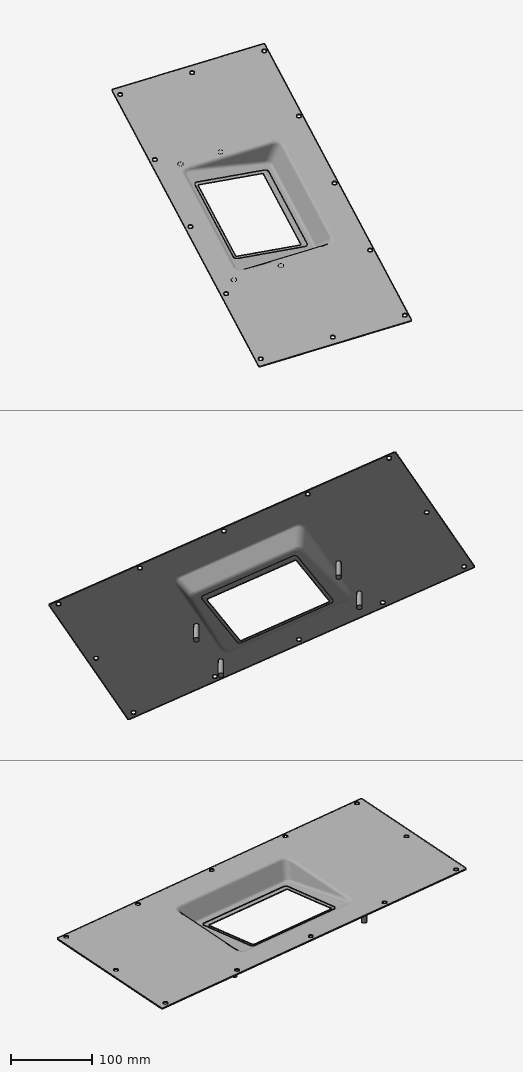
import cadquery as cq
import math

PLATE_LENGTH = 486.0
PLATE_WIDTH = 202.0
PLATE_CORNER_RADIUS = 1.5
SHEET = 1.5
BORDER_WIDTH = 5.0
TOTAL_HEIGHT = 30.0

HOLE_DIAMETER = 6.0
HOLE_ROW_CENTRE = 1.0
HOLE_ROW_OFFSET = 95.3
HOLE_OUTER_X = 232.0
HOLE_INNER_X = 117.5

PAN_HALF_WIDTH = 89.0
PAN_BACK_Y = 60.0
PAN_FRONT_Y = -69.0
PAN_FRONT_DEPTH = 1.5
FLOOR_TILT = 10.0
SIDE_WALL_ANGLE = 60.0
BACK_WALL_ANGLE = 50.0
FRONT_WALL_ANGLE = 60.0
CORNER_RADIUS = 9.5
FLOOR_RADIUS = 5.0
RIM_RADIUS = 5.5
WALL_TOP = 9.5
WALL_BOTTOM = -2 * TOTAL_HEIGHT

WINDOW_WIDTH = 125.5
WINDOW_LENGTH = 87.5
WINDOW_CENTRE_Y = -16.0
WINDOW_CORNER_RADIUS = 1.5
RECESS_WIDTH = 134.0
RECESS_LENGTH = 99.0
RECESS_CENTRE_Y = -14.0
RECESS_CORNER_RADIUS = 4.5
RECESS_DEPTH = SHEET / 2

POST_DIAMETER = 7.0
POST_X = 99.5
POST_POINTS = [(-POST_X, -14.5), (-POST_X, -67.5), (POST_X, -14.5), (POST_X, -77.0)]

TILT = math.radians(FLOOR_TILT)
FLOOR_NORMAL = cq.Vector(0, math.sin(TILT), math.cos(TILT))


def run_per_height(angle):
    """Horizontal run of a wall for each unit of height."""
    return 1 / math.tan(math.radians(angle))


def floor_z(y):
    """Height of the upper face of the pan floor."""
    return -PAN_FRONT_DEPTH - math.tan(TILT) * (y - PAN_FRONT_Y)


def pan_side_profile():
    """Section along Y: front wall, sloping floor and back wall."""
    front_run = run_per_height(FRONT_WALL_ANGLE)
    back_run = run_per_height(BACK_WALL_ANGLE)
    floor_front_y = PAN_FRONT_Y + PAN_FRONT_DEPTH * front_run
    floor_back_y = (PAN_BACK_Y + back_run * floor_z(0)) / (1 + back_run * math.tan(TILT))
    return cq.Workplane("YZ").polyline([
        (PAN_FRONT_Y - WALL_TOP * front_run, WALL_TOP),
        (floor_front_y, floor_z(floor_front_y)),
        (floor_back_y, floor_z(floor_back_y)),
        (PAN_BACK_Y + WALL_TOP * back_run, WALL_TOP),
    ]).close()


def pan_cross_profile():
    """Section along X: the two side walls, closed well below the floor."""
    side_run = run_per_height(SIDE_WALL_ANGLE)
    top_half = PAN_HALF_WIDTH + WALL_TOP * side_run
    bottom_half = PAN_HALF_WIDTH + WALL_BOTTOM * side_run
    return cq.Workplane("XZ").polyline([
        (-top_half, WALL_TOP),
        (-bottom_half, WALL_BOTTOM),
        (bottom_half, WALL_BOTTOM),
        (top_half, WALL_TOP),
    ]).close()


def pan_solid(wall):
    """Filled pan below Z = 0, grown outward by the given wall thickness."""
    lengthwise = pan_side_profile()
    crosswise = pan_cross_profile()
    if wall > 0:
        lengthwise = lengthwise.offset2D(wall, "intersection")
        crosswise = crosswise.offset2D(wall, "intersection")
    pan = lengthwise.extrude(PLATE_LENGTH, both=True).intersect(
        crosswise.extrude(PLATE_WIDTH, both=True)
    )

    floor_selector = cq.selectors.DirectionMinMaxSelector(-FLOOR_NORMAL, True)
    floor_edges = pan.faces(floor_selector).edges().vals()
    top_edges = pan.faces(">Z").edges().vals()
    level_edges = floor_edges + top_edges
    wall_corners = [
        edge for edge in pan.edges().vals()
        if not any(edge.isSame(level) for level in level_edges)
    ]
    pan = pan.newObject(wall_corners).fillet(CORNER_RADIUS + wall)
    pan = pan.faces(floor_selector).edges().fillet(FLOOR_RADIUS + wall)

    below_plate_top = cq.Workplane("XY").rect(PLATE_LENGTH, PLATE_WIDTH).extrude(WALL_BOTTOM)
    return pan.intersect(below_plate_top)


def pan_outline_edges(body, z):
    """Edges at height z that run around the pan, leaving out the plate border."""
    margin = SHEET / 10
    x_limit = PLATE_LENGTH / 2 - BORDER_WIDTH
    y_limit = PLATE_WIDTH / 2 - BORDER_WIDTH
    level = cq.selectors.BoxSelector(
        (-PLATE_LENGTH, -PLATE_WIDTH, z - margin), (PLATE_LENGTH, PLATE_WIDTH, z + margin), boundingbox=True
    )
    inside_border = cq.selectors.BoxSelector(
        (-x_limit, -y_limit, z - margin), (x_limit, y_limit, z + margin)
    )
    return body.faces(level).edges(inside_border)


def plate_with_pan():
    """Plate with the pan pressed into it and both sides of the rim bend rounded."""
    body = cq.Workplane("XY").rect(PLATE_LENGTH, PLATE_WIDTH).extrude(-SHEET)
    body = body.edges("|Z").fillet(PLATE_CORNER_RADIUS)
    body = body.union(pan_solid(SHEET))
    body = pan_outline_edges(body, -SHEET).fillet(RIM_RADIUS - SHEET)
    body = body.cut(pan_solid(0))
    return pan_outline_edges(body, 0).fillet(RIM_RADIUS)


def floor_cutter(width, length, centre_y, depth, corner_radius):
    """Rounded block sunk to the given depth, square to the pan floor."""
    plane = cq.Plane(origin=(0, centre_y, floor_z(centre_y)), xDir=(1, 0, 0), normal=FLOOR_NORMAL.toTuple())
    block = cq.Workplane(plane).rect(width, length).extrude(depth, both=True)
    return block.edges(cq.selectors.ParallelDirSelector(FLOOR_NORMAL)).fillet(corner_radius)


def screw_holes():
    """Five holes along each long border and one in the middle of each short border."""
    points = [
        (x, HOLE_ROW_CENTRE + side * HOLE_ROW_OFFSET)
        for side in (-1, 1)
        for x in (-HOLE_OUTER_X, -HOLE_INNER_X, 0, HOLE_INNER_X, HOLE_OUTER_X)
    ]
    points += [(side * HOLE_OUTER_X, HOLE_ROW_CENTRE) for side in (-1, 1)]
    return cq.Workplane("XY").pushPoints(points).circle(HOLE_DIAMETER / 2).extrude(-SHEET)


def posts():
    """Round posts from the underside of the plate down to the lowest level."""
    underside = cq.Workplane("XY").workplane(offset=-SHEET)
    return underside.pushPoints(POST_POINTS).circle(POST_DIAMETER / 2).extrude(SHEET - TOTAL_HEIGHT)


recess = floor_cutter(RECESS_WIDTH, RECESS_LENGTH, RECESS_CENTRE_Y, RECESS_DEPTH, RECESS_CORNER_RADIUS)
window = floor_cutter(WINDOW_WIDTH, WINDOW_LENGTH, WINDOW_CENTRE_Y, 2 * SHEET, WINDOW_CORNER_RADIUS)

result = plate_with_pan().cut(recess).cut(window).cut(screw_holes()).union(posts())